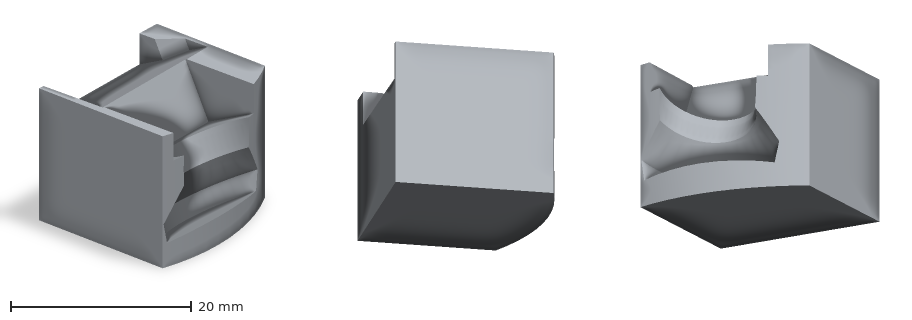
import cadquery as cq
import math

width = 19.05
depth = 20.32
height = 16.52
front_length = 17.95
back_length = 15.69
bow_crest_y = 7.44

slope_angle = 26.0
ramp_turn = 1.8
seat_turn = 1.2
clearance = 12.2

ramp_front_y = 0.75
ramp_drop = 4.15
ramp_width = 16.52
ramp_shoulder_start = 4.25
ramp_shoulder_end = 6.56
ramp_wide_width = 18.7

seat_x = 11.45
seat_front_y = 1.24
seat_drop = 6.83
seat_width = 14.75

recess_x = 7.4
recess_y = 7.45
neck_radius = 6.04
neck_depth = 3.35
chamber_radius = 9.35
recess_depth = 8.95


def sloped_plane(x, y, drop, turn_angle):
    """Plane rising towards +X, with its origin the given drop below the top face."""
    slope = math.radians(slope_angle)
    turn = math.radians(turn_angle)
    run, rise = math.cos(slope), math.sin(slope)
    return cq.Plane(
        origin=(x, y, height - drop),
        xDir=(run * math.cos(turn), run * math.sin(turn), rise),
        normal=(-rise * math.cos(turn), -rise * math.sin(turn), run),
    )


def make_block():
    return (
        cq.Workplane("XY")
        .lineTo(front_length, 0)
        .threePointArc((width, bow_crest_y), (back_length, depth))
        .lineTo(0, depth)
        .close()
        .extrude(height)
    )


def make_ramp_cut():
    plane = sloped_plane(0, ramp_front_y, ramp_drop, ramp_turn)
    outline = [
        (-clearance, 0),
        (clearance, 0),
        (clearance, ramp_wide_width),
        (ramp_shoulder_end, ramp_wide_width),
        (ramp_shoulder_start, ramp_width),
        (-clearance, ramp_width),
    ]
    return cq.Workplane(plane).polyline(outline).close().extrude(clearance)


def make_seat_cut(plane):
    return cq.Workplane(plane).rect(clearance, seat_width, centered=False).extrude(clearance)


def make_recess_cut(plane):
    flare_depth = neck_depth + chamber_radius - neck_radius
    profile = [
        (0, 0),
        (neck_radius, 0),
        (neck_radius, -neck_depth),
        (chamber_radius, -flare_depth),
        (chamber_radius, -recess_depth),
        (0, -recess_depth),
    ]
    centre = plane.toWorldCoords((recess_x, recess_y, 0))
    profile_plane = cq.Plane(origin=centre, xDir=plane.xDir, normal=-plane.yDir)
    return cq.Workplane(profile_plane).polyline(profile).close().revolve(360, (0, 0), (0, 1))


seat_plane = sloped_plane(seat_x, seat_front_y, seat_drop, seat_turn)
result = (
    make_block()
    .cut(make_ramp_cut())
    .cut(make_seat_cut(seat_plane))
    .cut(make_recess_cut(seat_plane))
)